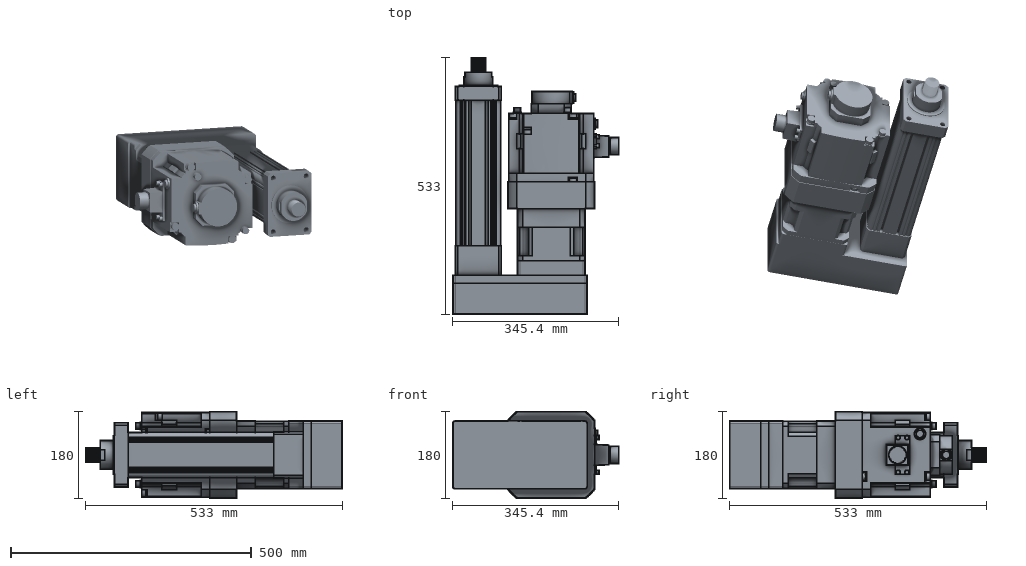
import cadquery as cq
import math


cover_start = 64.5
cover_end = 81.0
rear_block_end = 142.0
front_plate_start = 445.0
front_plate_end = 473.5
pilot_end = 475.5
rod_shoulder = 503.0
rod_tip = 533.0
adapter_end = 110.5
pocket_start = 121.5
pocket_end = 181.0
gearbox_neck_end = 219.5
gearbox_end = 275.5
motor_flange_end = 293.0
motor_end = 417.0

belt_length = 279.0
belt_height = 141.0
belt_left = -53.0
belt_corner_radius = 5.0
belt_centre_x = belt_left + belt_length / 2

block_width = 96.0
block_chamfer = 5.5
front_plate_height = 134.0
mount_hole_diameter = 11.0
mount_hole_x = 36.0
mount_hole_z = 57.0
pilot_diameter = 80.0
tube_width = 94.0
tube_corner_radius = 10.5
side_slot_centre = 17.3
side_slot_width = 5.6
side_slot_depth = 8.0
groove_depth = 2.5
inner_groove = (26.0, 28.2, 29.7)
outer_groove = (37.2, 34.7, 33.0)

rod_diameter = 60.0
wrench_flat_width = 56.0
wrench_flat_length = 10.0
thread_diameter = 30.0
thread_pitch = 2.0
thread_depth = 1.2

motor_x = 151.5
gearbox_width = 141.0
gearbox_waist_width = 140.6
gearbox_turned_diameter = 184.0
gearbox_flange_width = 180.0
gearbox_flange_turned_diameter = 230.0
pocket_mouth = 39.0
pocket_wall = 47.0
pocket_lip = 65.0
pocket_fillet_start = 59.5

motor_half_width = 88.5
motor_flange_width = 2 * motor_half_width
motor_flange_turned_diameter = 228.0
motor_face_edge = 85.5
notch_inner = 57.5
notch_outer = 66.5
notch_step = 2.0
lug_half_width = 5.7
lug_reach = 96.0
lug_start = 344.0
lug_end = 374.5
bolt_offset = 45.0
bolt_reach = 79.0
bolt_head_diameter = 16.0
bolt_washer_diameter = 18.0
bolt_washer_thickness = 3.0
bolt_pocket_inner = 72.0
bolt_pocket_half_width = 9.5
bolt_pocket_depth = 11.5
flange_pocket_depth = 9.5
flange_bolt_length = 7.0
side_bolt_x = -49.5
side_bolt_start = 374.0
side_bolt_head_length = 9.5
side_bolt_end = 388.0

end_screw_points = [(34.0, 60.3), (-70.5, -60.3)]
end_screw_diameter = 14.0
end_washer_diameter = 16.0
end_washer_thickness = 3.0
end_screw_length = 12.0
plug_washer_diameter = 23.5
plug_washer_thickness = 3.5
plug_head_diameter = 16.0
plug_height = 7.8
motor_plug_y = 395.5
motor_plug_z = 43.7

encoder_base_width = 84.0
encoder_base_chamfer = 15.0
encoder_base_end = 437.0
encoder_diameter = 80.0
encoder_end = 463.0
encoder_pad_height = 24.0
encoder_pad_reach = 43.5

connector_y = 349.0
connector_plate_length = 80.0
connector_plate_thickness = 5.0
connector_screw_z = 36.0
connector_screw_spacing = 18.5
connector_screw_diameter = 8.7
connector_screw_height = 11.0
connector_body_y = 348.5
connector_body_base_width = 46.0
connector_body_tip_width = 44.0
connector_body_base_height = 44.0
connector_body_tip_height = 41.0
connector_body_end = 271.5
connector_neck_diameter = 33.0
connector_neck_length = 3.0
connector_socket_diameter = 36.5
connector_end = 292.35


def section(x, y):
    """Sketch plane across the Y axis: local axes are X and Z, the normal is -Y."""
    return cq.Workplane("XZ", origin=(x, y, 0))


def rect_bar(x, start, end, width, height):
    return section(x, start).rect(width, height).extrude(start - end)


def round_bar(x, z, start, end, diameter):
    return section(x, start).center(0, z).circle(diameter / 2).extrude(start - end)


def turned_square(start, end, width, turned_diameter):
    """Square bar on the motor axis with its corners turned down to a diameter."""
    turned = round_bar(motor_x, 0, start, end, turned_diameter)
    return rect_bar(motor_x, start, end, width, width).intersect(turned)


def quarter_turns(shape):
    """The shape repeated at four quarter turns about the motor axis."""
    axis_start = cq.Vector(motor_x, 0, 0)
    axis_end = cq.Vector(motor_x, 1, 0)
    copies = cq.Workplane(shape.val())
    for quarter in range(1, 4):
        copies = copies.add(shape.val().rotate(axis_start, axis_end, 90 * quarter))
    return copies


def x_disc(x_start, x_end, y, z, diameter):
    plane = cq.Workplane("YZ", origin=(x_start, y, z))
    return plane.circle(diameter / 2).extrude(x_end - x_start)


def make_belt_part(start, end):
    bar = rect_bar(belt_centre_x, start, end, belt_length, belt_height)
    return bar.edges("|Y").fillet(belt_corner_radius)


def make_rod():
    hub = round_bar(0, 0, pilot_end, rod_shoulder, rod_diameter)
    flats_start = rod_shoulder - wrench_flat_length
    flats = rect_bar(0, flats_start, rod_shoulder, wrench_flat_width, rod_diameter)
    plain_hub = round_bar(0, 0, pilot_end, flats_start, rod_diameter)
    hub = hub.intersect(flats.union(plain_hub))

    crest = thread_diameter / 2
    thread = cq.Workplane("XY").moveTo(0, rod_shoulder).lineTo(crest, rod_shoulder)
    for turn in range(round((rod_tip - rod_shoulder) / thread_pitch)):
        crest_y = rod_shoulder + turn * thread_pitch
        thread = thread.lineTo(crest - thread_depth, crest_y + thread_pitch / 2)
        thread = thread.lineTo(crest, crest_y + thread_pitch)
    thread = thread.lineTo(0, rod_tip).close().revolve(360, (0, 0, 0), (0, 1, 0))
    return hub.union(thread)


def groove_cutter(square_edge, floor_end, slope_top, mirror):
    top = tube_width / 2
    points = [
        (square_edge, top),
        (square_edge, top - groove_depth),
        (floor_end, top - groove_depth),
        (slope_top, top),
    ]
    outline = [(mirror * across, height) for across, height in points]
    return section(0, rear_block_end).polyline(outline).close().extrude(rear_block_end - front_plate_start)


def make_tube():
    tube = rect_bar(0, rear_block_end, front_plate_start, tube_width, tube_width)
    tube = tube.edges("|Y").fillet(tube_corner_radius)
    for mirror in (1, -1):
        for groove in (inner_groove, outer_groove):
            cutter = groove_cutter(*groove, mirror)
            for quarter in range(4):
                tube = tube.cut(cutter.rotate((0, 0, 0), (0, 1, 0), 90 * quarter))
    slot_points = [(x * side_slot_centre, z * tube_width / 2) for x in (1, -1) for z in (1, -1)]
    slots = (
        section(0, rear_block_end)
        .pushPoints(slot_points)
        .rect(side_slot_width, 2 * side_slot_depth)
        .extrude(rear_block_end - front_plate_start)
    )
    return tube.cut(slots)


def make_actuator():
    rear_block = rect_bar(0, cover_end, rear_block_end, block_width, block_width)
    rear_block = rear_block.edges("|Y").chamfer(block_chamfer)
    front_plate = rect_bar(0, front_plate_start, front_plate_end, block_width, front_plate_height)
    front_plate = front_plate.edges("|Y").chamfer(block_chamfer)
    holes = (
        section(0, front_plate_start)
        .rect(2 * mount_hole_x, 2 * mount_hole_z, forConstruction=True)
        .vertices()
        .circle(mount_hole_diameter / 2)
        .extrude(front_plate_start - front_plate_end)
    )
    pilot = round_bar(0, 0, front_plate_end, pilot_end, pilot_diameter)
    return (
        rear_block.union(make_tube())
        .union(front_plate.cut(holes))
        .union(pilot)
        .union(make_rod())
    )


def make_adapter():
    adapter = rect_bar(motor_x, cover_end, adapter_end, gearbox_width, gearbox_width)
    return adapter.edges("|Y").fillet(belt_corner_radius)


def corner_pocket():
    """Bolt pocket in the upper left corner, symmetrical about the corner diagonal."""
    half = gearbox_width / 2
    fillet = pocket_fillet_start - pocket_wall
    arc_depth = pocket_fillet_start - fillet * math.sqrt(0.5)
    return (
        section(motor_x, pocket_start)
        .moveTo(-pocket_mouth, half)
        .lineTo(-pocket_wall, pocket_lip)
        .lineTo(-pocket_wall, pocket_fillet_start)
        .threePointArc((-arc_depth, arc_depth), (-pocket_fillet_start, pocket_wall))
        .lineTo(-pocket_lip, pocket_wall)
        .lineTo(-half, pocket_mouth)
        .lineTo(-half, half)
        .close()
        .extrude(pocket_start - pocket_end)
    )


def make_gearbox():
    waist = turned_square(adapter_end, pocket_end, gearbox_waist_width, gearbox_turned_diameter)
    for pocket in quarter_turns(corner_pocket()).vals():
        waist = waist.cut(cq.Workplane(pocket))
    neck = turned_square(pocket_end, gearbox_neck_end, gearbox_width, gearbox_turned_diameter)
    flange = turned_square(
        gearbox_neck_end, gearbox_end, gearbox_flange_width, gearbox_flange_turned_diameter
    )
    return waist.union(neck).union(flange)


def motor_profile():
    """Motor section: notched corners, bowed faces above and below."""
    side = motor_half_width
    step_end = notch_inner + notch_step
    return (
        section(motor_x, motor_flange_end)
        .moveTo(-notch_inner, motor_face_edge)
        .threePointArc((0, side), (notch_inner, motor_face_edge))
        .lineTo(notch_inner, notch_outer)
        .lineTo(step_end, notch_outer)
        .lineTo(notch_outer, step_end)
        .lineTo(notch_outer, notch_inner)
        .lineTo(side, notch_inner)
        .lineTo(side, -notch_inner)
        .lineTo(notch_outer, -notch_inner)
        .lineTo(notch_outer, -step_end)
        .lineTo(step_end, -notch_outer)
        .lineTo(notch_inner, -notch_outer)
        .lineTo(notch_inner, -motor_face_edge)
        .threePointArc((0, -side), (-notch_inner, -motor_face_edge))
        .lineTo(-notch_inner, -notch_outer)
        .lineTo(-step_end, -notch_outer)
        .lineTo(-notch_outer, -step_end)
        .lineTo(-notch_outer, -notch_inner)
        .lineTo(-side, -notch_inner)
        .lineTo(-side, notch_inner)
        .lineTo(-notch_outer, notch_inner)
        .lineTo(-notch_outer, step_end)
        .lineTo(-step_end, notch_outer)
        .lineTo(-notch_inner, notch_outer)
        .close()
    )


def make_lug():
    """Lug standing on the slope of one corner notch."""
    lug = rect_bar(motor_x + lug_reach / 2, lug_start, lug_end, lug_reach, 2 * lug_half_width)
    return lug.rotate((motor_x, 0, 0), (motor_x, 1, 0), -45)


def bolt_pocket(start, end, far_side):
    """Pocket open to the outside above one bolt, ending at the given distance across."""
    near_side = bolt_offset - bolt_pocket_half_width
    width = far_side - near_side
    height = motor_half_width - bolt_pocket_inner
    pocket = section(motor_x, start).center(near_side + width / 2, bolt_pocket_inner + height / 2)
    return pocket.rect(width, height).extrude(start - end)


def bolt_head(start, end):
    return round_bar(motor_x + bolt_offset, bolt_reach, start, end, bolt_head_diameter)


def cut_and_add(body, cutter, addition):
    """Cut a pocket and add its bolt at four quarter turns."""
    for pocket in quarter_turns(cutter).vals():
        body = body.cut(cq.Workplane(pocket))
    for bolt in quarter_turns(addition).vals():
        body = body.union(cq.Workplane(bolt))
    return body


def add_side_bolt(body):
    """Bolt head let into the upper left edge of the motor."""
    left = -notch_inner
    right = side_bolt_x + bolt_head_diameter / 2
    height = motor_half_width - bolt_pocket_inner
    pocket = (
        section(motor_x, side_bolt_start)
        .center((left + right) / 2, bolt_pocket_inner + height / 2)
        .rect(right - left, height)
        .extrude(side_bolt_start - side_bolt_end)
    )
    head_end = side_bolt_start + side_bolt_head_length
    head = round_bar(motor_x + side_bolt_x, bolt_reach, side_bolt_start, head_end, bolt_head_diameter)
    return body.cut(pocket).union(head)


def screw_plug(x, y, z):
    """Screwed plug facing +X: a washer and a smaller head."""
    washer = x_disc(x, x + plug_washer_thickness, y, z, plug_washer_diameter)
    return washer.union(x_disc(x, x + plug_height, y, z, plug_head_diameter))


def make_encoder():
    base = rect_bar(motor_x, motor_end, encoder_base_end, encoder_base_width, encoder_base_width)
    base = base.edges("|Y").chamfer(encoder_base_chamfer)
    housing = round_bar(motor_x, 0, encoder_base_end, encoder_end, encoder_diameter)
    plug_y = (encoder_base_end + encoder_end) / 2
    pad_end = motor_x + encoder_pad_reach
    pad = rect_bar(
        motor_x + encoder_pad_reach / 2, encoder_base_end, encoder_end, encoder_pad_reach, encoder_pad_height
    )
    return base.union(housing).union(pad).union(screw_plug(pad_end, plug_y, 0))


def make_connector():
    face_x = motor_x + motor_half_width
    plate_width = lug_end - lug_start
    plate_y = (lug_start + lug_end) / 2
    plate = (
        cq.Workplane("YZ", origin=(face_x, plate_y, 0))
        .rect(plate_width, connector_plate_length)
        .extrude(connector_plate_thickness)
    )
    screws = (
        cq.Workplane("YZ", origin=(face_x, plate_y, 0))
        .rect(connector_screw_spacing, 2 * connector_screw_z, forConstruction=True)
        .vertices()
        .circle(connector_screw_diameter / 2)
        .extrude(connector_screw_height)
    )
    body = (
        cq.Workplane("YZ", origin=(face_x, connector_body_y, 0))
        .rect(connector_body_base_width, connector_body_base_height)
        .workplane(offset=connector_body_end - face_x)
        .rect(connector_body_tip_width, connector_body_tip_height)
        .loft()
    )
    neck_end = connector_body_end + connector_neck_length
    neck = x_disc(connector_body_end, neck_end, connector_y, 0, connector_neck_diameter)
    socket = x_disc(neck_end, connector_end, connector_y, 0, connector_socket_diameter)
    return plate.union(screws).union(body).union(neck).union(socket)


def make_motor():
    flange = turned_square(
        gearbox_end, motor_flange_end, motor_flange_width, motor_flange_turned_diameter
    )
    flange_floor = gearbox_end + flange_pocket_depth
    flange = cut_and_add(
        flange,
        bolt_pocket(gearbox_end, flange_floor, bolt_offset + bolt_pocket_half_width),
        bolt_head(gearbox_end, gearbox_end + flange_bolt_length),
    )
    body = motor_profile().extrude(motor_flange_end - motor_end)
    pocket_floor = motor_end - bolt_pocket_depth
    bolt = bolt_head(pocket_floor, motor_end)
    washer_end = pocket_floor + bolt_washer_thickness
    washer = round_bar(motor_x + bolt_offset, bolt_reach, pocket_floor, washer_end, bolt_washer_diameter)
    body = cut_and_add(body, bolt_pocket(pocket_floor, motor_end, notch_inner), bolt.union(washer))
    body = add_side_bolt(body)

    motor = flange.union(body)
    for copy in quarter_turns(make_lug()).vals():
        motor = motor.union(cq.Workplane(copy))

    for x, z in end_screw_points:
        washer_end = motor_end + end_washer_thickness
        motor = motor.union(round_bar(motor_x + x, z, motor_end, washer_end, end_washer_diameter))
        screw_end = motor_end + end_screw_length
        motor = motor.union(round_bar(motor_x + x, z, motor_end, screw_end, end_screw_diameter))

    motor = motor.union(screw_plug(motor_x + motor_half_width, motor_plug_y, motor_plug_z))
    return motor.union(make_encoder()).union(make_connector())


belt_housing = make_belt_part(0, cover_start)
belt_cover = make_belt_part(cover_start, cover_end)
actuator = make_actuator()
adapter = make_adapter()
gearbox = make_gearbox()
motor = make_motor()

result = cq.Compound.makeCompound([
    belt_housing.val(),
    belt_cover.val(),
    actuator.val(),
    adapter.val(),
    gearbox.val(),
    motor.val(),
])